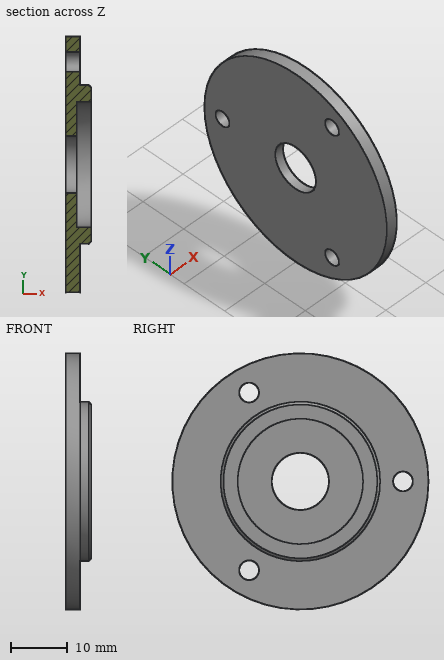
import cadquery as cq

flange_diameter = 45.0
flange_thickness = 2.5
overall_thickness = 4.5

boss_diameter = 28.0
boss_height = overall_thickness - flange_thickness
boss_chamfer = 0.5

recess_diameter = 22.0
web_thickness = 2.0
recess_depth = overall_thickness - web_thickness

bore_diameter = 10.0
mount_hole_diameter = 3.4
mount_circle_radius = 18.0
mount_hole_count = 3

flange = cq.Workplane("YZ").circle(flange_diameter / 2).extrude(flange_thickness)

boss = (
    cq.Workplane("YZ", origin=(flange_thickness, 0, 0))
    .circle(boss_diameter / 2)
    .extrude(boss_height)
    .faces(">X")
    .edges()
    .chamfer(boss_chamfer)
)

recess = (
    cq.Workplane("YZ", origin=(web_thickness, 0, 0))
    .circle(recess_diameter / 2)
    .extrude(recess_depth)
)

bore = cq.Workplane("YZ").circle(bore_diameter / 2).extrude(overall_thickness)

mount_holes = (
    cq.Workplane("YZ")
    .polarArray(mount_circle_radius, 0, 360, mount_hole_count)
    .circle(mount_hole_diameter / 2)
    .extrude(flange_thickness)
)

result = flange.union(boss).cut(recess).cut(bore).cut(mount_holes)